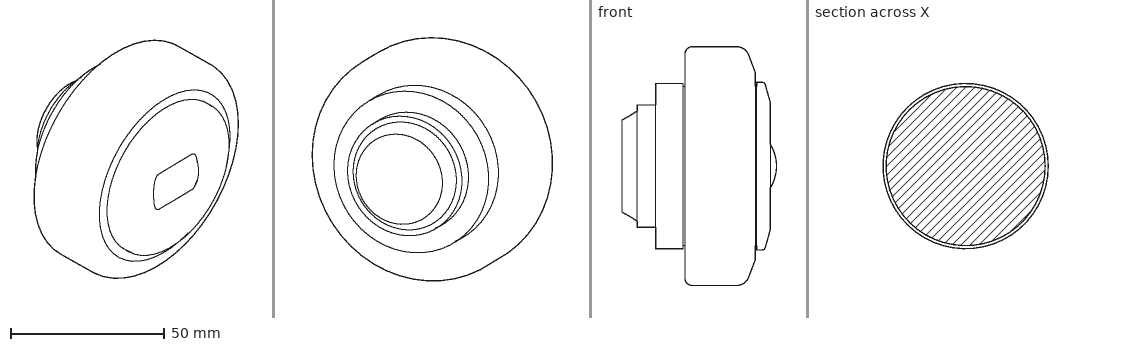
import cadquery as cq
import math

STUB_CONE_END = 5.0
STUB_END = 11.0
SHOULDER_END = 20.0
WHEEL_START = 20.5
WHEEL_END = 43.6
CAP_START = 44.0
CAP_ROUND_START = 45.8
CAP_END = 48.5
OVERALL_LENGTH = 50.5

STUB_TIP_RADIUS = 15.1
STUB_CONE_RADIUS = 18.0
STUB_RADIUS = 20.0
SHOULDER_RADIUS = 27.0
GROOVE_RADIUS = 26.0
WHEEL_RADIUS = 39.05
WHEEL_FACE_RADIUS = 30.6
CAP_RADIUS = 27.4
CAP_FACE_RADIUS = 20.8

WHEEL_BACK_ROUND = 2.5
WHEEL_FRONT_ROUND_START = 37.4
WHEEL_FRONT_ROUND = 4.3
CAP_ROUND = 1.0

BUTTON_CROWN_RADIUS = 13.4
BUTTON_LENGTH = 20.6
BUTTON_EDGE_ROUND = 2.65


def round_into_cone(profile, start_x, start_radius, round_radius, face_x, face_radius):
    """Add an arc from a cylinder to the tangent cone that meets the end face."""
    center_x = start_x
    center_radius = start_radius - round_radius
    run = face_x - center_x
    drop = center_radius - face_radius
    tangent_angle = math.acos(round_radius / math.hypot(run, drop)) - math.atan2(drop, run)
    middle_angle = (math.pi / 2 + tangent_angle) / 2

    def arc_point(angle):
        return (
            center_x + round_radius * math.cos(angle),
            center_radius + round_radius * math.sin(angle),
        )

    profile = profile.threePointArc(arc_point(middle_angle), arc_point(tangent_angle))
    return profile.lineTo(face_x, face_radius)


def make_turned_body():
    """Revolve the stub, shoulder, wheel and cap as one profile about X."""
    profile = (
        cq.Workplane("XY")
        .moveTo(0, 0)
        .lineTo(0, STUB_TIP_RADIUS)
        .lineTo(STUB_CONE_END, STUB_CONE_RADIUS)
        .lineTo(STUB_CONE_END, STUB_RADIUS)
        .lineTo(STUB_END, STUB_RADIUS)
        .lineTo(STUB_END, SHOULDER_RADIUS)
        .lineTo(SHOULDER_END, SHOULDER_RADIUS)
        .lineTo(SHOULDER_END, GROOVE_RADIUS)
        .lineTo(WHEEL_START, GROOVE_RADIUS)
        .lineTo(WHEEL_START, WHEEL_RADIUS - WHEEL_BACK_ROUND)
        .tangentArcPoint((WHEEL_BACK_ROUND, WHEEL_BACK_ROUND), relative=True)
        .lineTo(WHEEL_FRONT_ROUND_START, WHEEL_RADIUS)
    )
    profile = round_into_cone(
        profile, WHEEL_FRONT_ROUND_START, WHEEL_RADIUS, WHEEL_FRONT_ROUND, WHEEL_END, WHEEL_FACE_RADIUS
    )
    profile = (
        profile.lineTo(WHEEL_END, GROOVE_RADIUS)
        .lineTo(CAP_START, GROOVE_RADIUS)
        .lineTo(CAP_START, CAP_RADIUS)
        .lineTo(CAP_ROUND_START, CAP_RADIUS)
    )
    profile = round_into_cone(profile, CAP_ROUND_START, CAP_RADIUS, CAP_ROUND, CAP_END, CAP_FACE_RADIUS)
    return profile.lineTo(CAP_END, 0).close().revolve(360, (0, 0, 0), (1, 0, 0))


def make_button():
    """Make the drum whose crown stands proud of the cap face."""
    return (
        cq.Workplane("XZ")
        .center(OVERALL_LENGTH - BUTTON_CROWN_RADIUS, 0)
        .circle(BUTTON_CROWN_RADIUS)
        .extrude(BUTTON_LENGTH / 2, both=True)
        .edges("%CIRCLE")
        .fillet(BUTTON_EDGE_ROUND)
    )


result = make_turned_body().union(make_button())